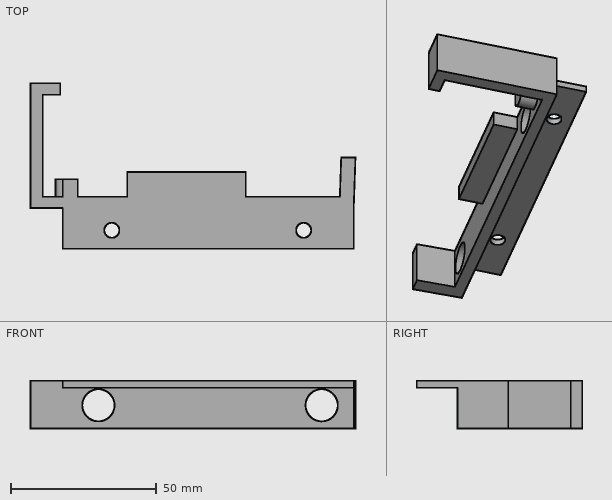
import cadquery as cq
import math

height = 16.5
depth = 57.0
flange_depth = 14.0
flange_thickness = 2.5
wall_thickness = 4.0
side_wall_thickness = 4.3
hook_length = 10.3

arm_length = 17.5
arm_thickness = 4.85
arm_lean = math.radians(2.0)
arm_overhang = arm_length * math.tan(arm_lean)
overall_length = 111.87
wall_length = overall_length - arm_overhang

flange_left = 11.1
screw_diameter = 5.1
screw_xs = (28.0, 94.0)
screw_y = 6.4

wall_hole_diameter = 11.0
wall_hole_xs = (23.4, 100.2)
wall_hole_z = 8.0

block_left = 33.3
block_length = 40.8
block_depth = 8.5
block_height = 5.6

peg_diameter = 7.8
peg_right = 16.35
peg_z = 7.5
peg_depth = 6.0
tab_left = flange_left

wall_back = flange_depth + wall_thickness


def box(x, y, z, length, width, tall):
    """Box given by its lower corner and its size."""
    return cq.Workplane("XY").box(length, width, tall, centered=False).translate((x, y, z))


def make_frame():
    """Back wall, hooked left side and leaning right arm as one extruded outline."""
    inner_arm = wall_length - arm_thickness
    arm_end = flange_depth + arm_length
    inner_shift = (arm_length - wall_thickness) * math.tan(arm_lean)
    outline = [
        (0, flange_depth),
        (wall_length, flange_depth),
        (overall_length, arm_end),
        (inner_arm + inner_shift, arm_end),
        (inner_arm, wall_back),
        (side_wall_thickness, wall_back),
        (side_wall_thickness, depth - wall_thickness),
        (hook_length, depth - wall_thickness),
        (hook_length, depth),
        (0, depth),
    ]
    return cq.Workplane("XY").polyline(outline).close().extrude(height)


def make_flange():
    """Thin mounting flange along the top front edge, with two screw holes."""
    flange = box(
        flange_left, 0, height - flange_thickness,
        wall_length - flange_left, flange_depth, flange_thickness,
    )
    screws = (
        cq.Workplane("XY")
        .pushPoints([(x, screw_y) for x in screw_xs])
        .circle(screw_diameter / 2)
        .extrude(height)
    )
    return flange.cut(screws)


def make_peg():
    """Round peg on the back of the wall, filled up to the top edge by a flat tab."""
    radius = peg_diameter / 2
    center_x = peg_right - radius
    peg = (
        cq.Workplane("XZ", origin=(0, wall_back, 0))
        .center(center_x, peg_z)
        .circle(radius)
        .extrude(-peg_depth)
    )
    tab = box(
        tab_left, wall_back, peg_z,
        peg_right - tab_left, peg_depth, height - peg_z,
    )
    return peg.union(tab)


def make_wall_holes():
    """Cutters for the two large holes through the back wall."""
    return (
        cq.Workplane("XZ", origin=(0, flange_depth, 0))
        .pushPoints([(x, wall_hole_z) for x in wall_hole_xs])
        .circle(wall_hole_diameter / 2)
        .extrude(-wall_thickness)
    )


def make_block():
    """Rectangular block on the back of the wall, flush with the top edge."""
    return box(
        block_left, wall_back, height - block_height,
        block_length, block_depth, block_height,
    )


result = (
    make_frame()
    .cut(make_wall_holes())
    .union(make_flange())
    .union(make_block())
    .union(make_peg())
)